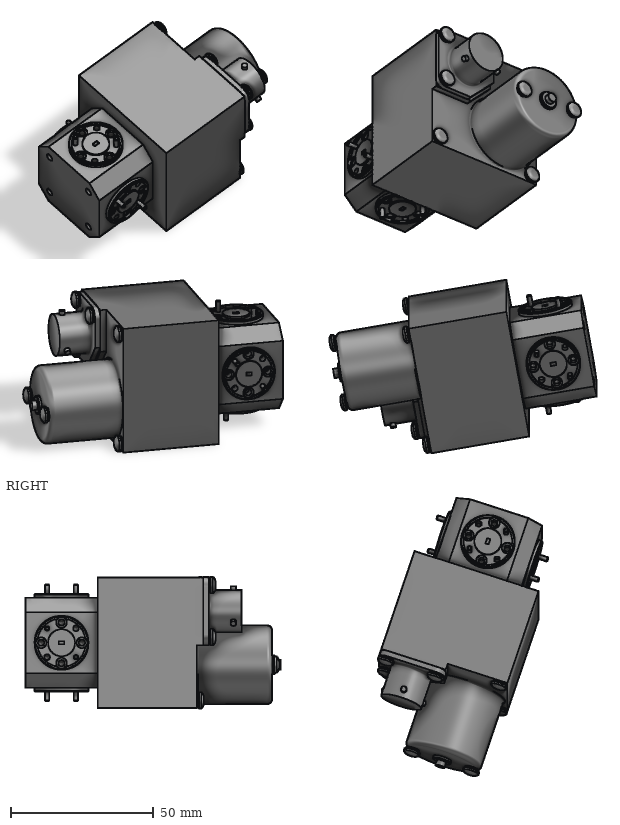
import cadquery as cq
import math


HEAD_WIDTH = 31.8
HEAD_LENGTH = 25.4
HEAD_CHAMFER = 5.1
HEAD_HOLE_DIAMETER = 2.8
HEAD_HOLE_SPACING = 20.4
HEAD_HOLE_DEPTH = 7.2

DRILL_POINT_ANGLE = 118.0

PORT_RADIUS = 9.5
PORT_HEIGHT = 1.35
PORT_EDGE_CHAMFER = 0.3
PORT_RIM_INNER_RADIUS = 8.5
PORT_BOSS_RADIUS = 4.8
PORT_RECESS_DEPTH = 0.7
PORT_HOLE_CIRCLE_RADIUS = 7.2
PORT_SCREW_HOLE_DIAMETER = 2.2
PORT_SCREW_HOLE_DEPTH = 4.5
PORT_COUNTERBORE_DIAMETER = 3.8
PORT_COUNTERBORE_DEPTH = 1.3
PORT_PIN_HOLE_DIAMETER = 2.1
PORT_PIN_HOLE_DEPTH = 4.5
PORT_PIN_DIAMETER = 1.6
PORT_PIN_LENGTH = 4.7
PORT_PIN_CHAMFER = 0.3
WAVEGUIDE_WIDTH = 1.2
WAVEGUIDE_LENGTH = 2.0
WAVEGUIDE_DEPTH = 0.3

BLOCK_WIDTH = 46.0
BLOCK_LENGTH = 34.9
BLOCK_BACK = HEAD_LENGTH + BLOCK_LENGTH

CAN_RADIUS = 13.9
CAN_CENTRE = -7.7
CAN_LENGTH = 26.5
CAN_TOP_FILLET = 1.9
CAN_BASE_FILLET = 0.5
CAN_BACK = BLOCK_BACK + CAN_LENGTH
COLLAR_RADIUS = 3.3
COLLAR_HEIGHT = 1.1
COLLAR_CHAMFER = 0.3
SHAFT_RADIUS = 1.7
SHAFT_END = 89.8

PAD_EDGE = -0.9
PAD_CHAMFER = 8.4
PAD_HEIGHT = 2.2
CONNECTOR_CENTRE = 11.1
CONNECTOR_FLANGE_WIDTH = 24.15
CONNECTOR_FLANGE_THICKNESS = 1.9
CONNECTOR_FLANGE_CORNER_RADIUS = 3.6
CONNECTOR_FLANGE_CHAMFER = 10.1
CONNECTOR_FLANGE_BACK = BLOCK_BACK + PAD_HEIGHT + CONNECTOR_FLANGE_THICKNESS
CONNECTOR_RADIUS = 7.45
CONNECTOR_LENGTH = 11.6
CONNECTOR_BASE_FILLET = 1.0
BAYONET_PIN_RADIUS = 1.0
BAYONET_PIN_REACH = 8.8
BAYONET_PIN_HEIGHT = 8.7

SCREW_HEAD_RADIUS = 5.8 / 2
SCREW_NECK_RADIUS = 2.4
SCREW_NECK_HEIGHT = 0.4
SCREW_RIM_BOTTOM = 0.8
SCREW_RIM_TOP = 1.5
SCREW_HEIGHT = 2.4
SCREW_TOP_RADIUS = 1.35
SCREW_DOME_MIDDLE_RADIUS = 2.3
SCREW_DOME_MIDDLE_HEIGHT = 2.1
CORNER_SCREW_OFFSET = 20.3
CONNECTOR_SCREW_OFFSET = CORNER_SCREW_OFFSET - CONNECTOR_CENTRE
CAN_SCREW_OFFSET = 10.95


def back_plane(x, y, z):
    """Plane facing +Y at (x, y, z), whose local axes are -X across and +Z up."""
    return cq.Plane(origin=(x, y, z), xDir=(-1, 0, 0), normal=(0, 1, 0))


def back_cylinder(x, y, z, radius, length):
    """Cylinder that starts at (x, y, z) and runs toward +Y."""
    return cq.Workplane(back_plane(x, y, z)).circle(radius).extrude(length)


def drilled_hole(mouth, direction, diameter, depth):
    """Tool for a blind hole: a cylinder from its mouth to the given depth, then a drill point."""
    radius = diameter / 2
    point_length = radius / math.tan(math.radians(DRILL_POINT_ANGLE / 2))
    start = cq.Vector(*mouth)
    axis = cq.Vector(*direction)
    bore = cq.Solid.makeCylinder(radius, depth, start, axis)
    point = cq.Solid.makeCone(radius, 0, point_length, start + axis * depth, axis)
    return cq.Workplane(bore.fuse(point))


def port_head():
    head = (
        cq.Workplane(back_plane(0, 0, 0))
        .rect(HEAD_WIDTH, HEAD_WIDTH)
        .extrude(HEAD_LENGTH)
        .edges("|Y")
        .chamfer(HEAD_CHAMFER)
    )
    reach = HEAD_HOLE_SPACING / 2
    for x in (-reach, reach):
        for z in (-reach, reach):
            head = head.cut(drilled_hole((x, 0, z), (0, 1, 0), HEAD_HOLE_DIAMETER, HEAD_HOLE_DEPTH))
    return head


def top_port_plane(height):
    """Plane facing +Z at the middle of the head's length, measured up from the head's top side."""
    return cq.Workplane("XY", origin=(0, HEAD_LENGTH / 2, HEAD_WIDTH / 2 + height))


def hole_circle_points(*angles):
    """Points on a port's hole circle, at angles in degrees from +X toward +Y."""
    reach = PORT_HOLE_CIRCLE_RADIUS
    turns = [math.radians(angle) for angle in angles]
    return [(reach * math.cos(turn), reach * math.sin(turn)) for turn in turns]


def top_port_holes(points, diameter, depth):
    """Drilled holes sunk from the flange face at the given points."""
    face = top_port_plane(PORT_HEIGHT).plane
    holes = [drilled_hole(face.toWorldCoords(point), (0, 0, -1), diameter, depth).val() for point in points]
    return cq.Workplane(cq.Compound.makeCompound(holes))


def top_port_disc():
    """Raised disc with a shallow ring recess between its rim and its centre boss."""
    disc = top_port_plane(0).circle(PORT_RADIUS).extrude(PORT_HEIGHT)
    disc = disc.faces(">Z").chamfer(PORT_EDGE_CHAMFER)
    ring = (
        top_port_plane(PORT_HEIGHT)
        .circle(PORT_RIM_INNER_RADIUS)
        .circle(PORT_BOSS_RADIUS)
        .extrude(-PORT_RECESS_DEPTH)
    )
    return disc.cut(ring)


def top_port_cuts():
    """Screw holes, pin holes and waveguide opening, all sunk from the flange face."""
    face = top_port_plane(PORT_HEIGHT)
    screw_points = hole_circle_points(0, 90, 180, 270)
    pin_points = hole_circle_points(135, 315)
    bores = top_port_holes(screw_points, PORT_SCREW_HOLE_DIAMETER, PORT_SCREW_HOLE_DEPTH)
    pin_holes = top_port_holes(pin_points, PORT_PIN_HOLE_DIAMETER, PORT_PIN_HOLE_DEPTH)
    counterbores = (
        face.pushPoints(screw_points)
        .circle(PORT_COUNTERBORE_DIAMETER / 2)
        .extrude(-PORT_COUNTERBORE_DEPTH)
    )
    waveguide = face.rect(WAVEGUIDE_WIDTH, WAVEGUIDE_LENGTH).extrude(-WAVEGUIDE_DEPTH)
    return bores.union(counterbores).union(pin_holes).union(waveguide)


def top_port_pins():
    """Two alignment pins standing on opposite points of the hole circle."""
    return (
        top_port_plane(0)
        .pushPoints(hole_circle_points(45, 225))
        .circle(PORT_PIN_DIAMETER / 2)
        .extrude(PORT_PIN_LENGTH)
        .faces(">Z")
        .chamfer(PORT_PIN_CHAMFER)
    )


def add_ports(body):
    disc = top_port_disc()
    cuts = top_port_cuts()
    pins = top_port_pins()
    for angle in (0, 90, 180, 270):
        for added in (disc, pins):
            body = body.union(added.rotate((0, 0, 0), (0, 1, 0), angle))
        body = body.cut(cuts.rotate((0, 0, 0), (0, 1, 0), angle))
    return body


def block():
    return cq.Workplane(back_plane(0, HEAD_LENGTH, 0)).rect(BLOCK_WIDTH, BLOCK_WIDTH).extrude(BLOCK_LENGTH)


def base_flare(x, y, z, radius, fillet):
    """Flared disc that blends a cylinder into the face it stands on with a concave fillet."""
    axis_plane = cq.Workplane("XY", origin=(x, y, z))
    arc_middle = fillet * (1 - math.cos(math.radians(45)))
    profile = (
        axis_plane.lineTo(radius + fillet, 0)
        .threePointArc((radius + arc_middle, arc_middle), (radius, fillet))
        .lineTo(0, fillet)
        .close()
    )
    return profile.revolve(360, (0, 0, 0), (0, 1, 0))


def motor_can():
    can = back_cylinder(CAN_CENTRE, BLOCK_BACK, CAN_CENTRE, CAN_RADIUS, CAN_LENGTH)
    can = can.faces(">Y").edges().fillet(CAN_TOP_FILLET)
    flare = base_flare(CAN_CENTRE, BLOCK_BACK, CAN_CENTRE, CAN_RADIUS, CAN_BASE_FILLET)
    collar = back_cylinder(CAN_CENTRE, CAN_BACK, CAN_CENTRE, COLLAR_RADIUS, COLLAR_HEIGHT)
    collar = collar.faces(">Y").chamfer(COLLAR_CHAMFER)
    shaft = back_cylinder(CAN_CENTRE, CAN_BACK, CAN_CENTRE, SHAFT_RADIUS, SHAFT_END - CAN_BACK)
    return can.union(flare).union(collar).union(shaft)


def cut_corner_plate(low_edge, high_edge, start, thickness, corner_cut):
    """Square plate in X and Z whose corner nearest the can is cut off at 45 degrees."""
    centre = (low_edge + high_edge) / 2
    width = high_edge - low_edge
    plate = cq.Workplane(back_plane(centre, start, centre)).rect(width, width).extrude(thickness)
    return plate.edges("|Y").edges("<X").edges("<Z").chamfer(corner_cut)


def connector_pad():
    return cut_corner_plate(PAD_EDGE, BLOCK_WIDTH / 2, BLOCK_BACK, PAD_HEIGHT, PAD_CHAMFER)


def connector_flange():
    half_width = CONNECTOR_FLANGE_WIDTH / 2
    flange = cut_corner_plate(
        CONNECTOR_CENTRE - half_width,
        CONNECTOR_CENTRE + half_width,
        BLOCK_BACK + PAD_HEIGHT,
        CONNECTOR_FLANGE_THICKNESS,
        CONNECTOR_FLANGE_CHAMFER,
    )
    return flange.edges("|Y").edges(">X or >Z").fillet(CONNECTOR_FLANGE_CORNER_RADIUS)


def bayonet_pins():
    """Three radial pins, 120 degrees apart, the first pointing to +Z."""
    y = CONNECTOR_FLANGE_BACK + BAYONET_PIN_HEIGHT
    axis_point = (CONNECTOR_CENTRE, y, CONNECTOR_CENTRE)
    axis_end = (CONNECTOR_CENTRE, y + 0.9, CONNECTOR_CENTRE)
    first_pin = cq.Workplane("XY", origin=axis_point).circle(BAYONET_PIN_RADIUS).extrude(BAYONET_PIN_REACH)
    return [first_pin.rotate(axis_point, axis_end, angle) for angle in (0, 120, 240)]


def connector():
    base = (CONNECTOR_CENTRE, CONNECTOR_FLANGE_BACK, CONNECTOR_CENTRE)
    shell = back_cylinder(*base, CONNECTOR_RADIUS, CONNECTOR_LENGTH)
    shell = shell.union(base_flare(*base, CONNECTOR_RADIUS, CONNECTOR_BASE_FILLET))
    for pin in bayonet_pins():
        shell = shell.union(pin)
    return connector_flange().union(shell)


def switch_body():
    body = port_head().union(block()).union(motor_can()).union(connector_pad()).union(connector())
    return add_ports(body)


def pan_head_screw(x, y, z):
    """Screw head seated on a back face: a neck, a flared rim and a domed top."""
    dome_middle = (SCREW_DOME_MIDDLE_RADIUS, SCREW_DOME_MIDDLE_HEIGHT)
    profile = (
        cq.Workplane("XY", origin=(x, y, z))
        .lineTo(SCREW_NECK_RADIUS, 0)
        .lineTo(SCREW_NECK_RADIUS, SCREW_NECK_HEIGHT)
        .lineTo(SCREW_HEAD_RADIUS, SCREW_RIM_BOTTOM)
        .lineTo(SCREW_HEAD_RADIUS, SCREW_RIM_TOP)
        .threePointArc(dome_middle, (SCREW_TOP_RADIUS, SCREW_HEIGHT))
        .lineTo(0, SCREW_HEIGHT)
        .close()
    )
    return profile.revolve(360, (0, 0, 0), (0, 1, 0))


def screw_seats():
    """Seat points of all screws: block corners, connector flange and can end."""
    corner = CORNER_SCREW_OFFSET
    low = CONNECTOR_CENTRE - CONNECTOR_SCREW_OFFSET
    high = CONNECTOR_CENTRE + CONNECTOR_SCREW_OFFSET
    block_corners = [(-corner, corner), (-corner, -corner), (corner, -corner)]
    flange_corners = [(low, high), (high, high), (high, low)]
    block_seats = [(x, BLOCK_BACK, z) for x, z in block_corners]
    flange_seats = [(x, CONNECTOR_FLANGE_BACK, z) for x, z in flange_corners]
    can_seats = [(CAN_CENTRE + side * CAN_SCREW_OFFSET, CAN_BACK, CAN_CENTRE) for side in (-1, 1)]
    return block_seats + flange_seats + can_seats


body = switch_body()
screws = [pan_head_screw(*seat) for seat in screw_seats()]
result = cq.Compound.makeCompound([body.val(), *[screw.val() for screw in screws]])